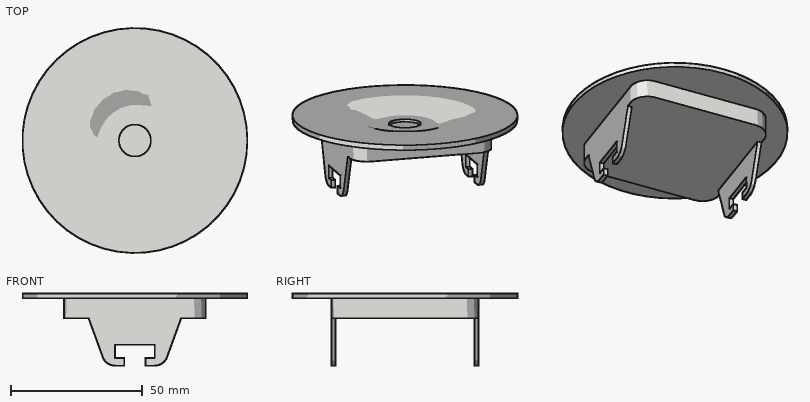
import cadquery as cq
import math

flange_diameter = 85.5
flange_thickness = 2.0
overall_height = 27.5

block_length_x = 53.95
block_length_y = 56.0
block_corner_radius = 7.0
block_bottom_depth = 9.5

dish_radius = 28.0
dish_floor_radius = 11.7
dish_depth = 3.3
dish_blend_radius = 7.0
recess_diameter = 12.1
recess_depth = 1.0

tab_thickness = 1.6
tab_top_width = 35.2
tab_side_angle = math.radians(20)
tab_corner_radius = 5.05
slot_width = 15.05
slot_mouth_width = 7.95
slot_height = 5.0
slot_lip_height = 3.0


def make_flange():
    return cq.Workplane("XY").circle(flange_diameter / 2).extrude(-flange_thickness)


def make_block():
    return (
        cq.Workplane("XY")
        .rect(block_length_x, block_length_y)
        .extrude(-block_bottom_depth)
        .edges("|Z")
        .fillet(block_corner_radius)
    )


def make_dish_cutter():
    """Two tangent arcs, level at the rim and at the floor, revolved about Z."""
    run = dish_radius - dish_floor_radius
    radius_sum = (run**2 + dish_depth**2) / (2 * dish_depth)
    rim_radius = radius_sum - dish_blend_radius
    wall_angle = math.asin(run / radius_sum)

    def rim_point(angle):
        return (dish_radius - rim_radius * math.sin(angle), -rim_radius * (1 - math.cos(angle)))

    def blend_point(angle):
        return (
            dish_floor_radius + dish_blend_radius * math.sin(angle),
            -dish_depth + dish_blend_radius * (1 - math.cos(angle)),
        )

    return (
        cq.Workplane("XZ")
        .moveTo(0, 0)
        .lineTo(dish_radius, 0)
        .threePointArc(rim_point(wall_angle / 2), rim_point(wall_angle))
        .threePointArc(blend_point(wall_angle / 2), (dish_floor_radius, -dish_depth))
        .lineTo(0, -dish_depth)
        .close()
        .revolve(360, (0, 0, 0), (0, 1, 0))
    )


def make_recess_cutter():
    recess_bottom_depth = dish_depth + recess_depth
    return cq.Workplane("XY").circle(recess_diameter / 2).extrude(-recess_bottom_depth)


def make_tab(front_y):
    """Tapered tab whose -Y face lies at front_y."""
    tab_drop = overall_height - block_bottom_depth
    top_half = tab_top_width / 2
    bottom_half = top_half - tab_drop * math.tan(tab_side_angle)
    plate = (
        cq.Workplane("XZ", origin=(0, front_y, 0))
        .polyline([
            (-top_half, -block_bottom_depth),
            (top_half, -block_bottom_depth),
            (bottom_half, -overall_height),
            (-bottom_half, -overall_height),
        ])
        .close()
        .extrude(-tab_thickness)
        .edges("|Y and <Z")
        .fillet(tab_corner_radius)
    )
    mid_y = front_y + tab_thickness / 2
    lip_top = -overall_height + slot_lip_height
    slot = cq.Workplane("XY", origin=(0, mid_y, lip_top)).rect(slot_width, tab_thickness).extrude(slot_height)
    mouth = cq.Workplane("XY", origin=(0, mid_y, lip_top)).rect(slot_mouth_width, tab_thickness)
    return plate.cut(slot).cut(mouth.extrude(-slot_lip_height))


body = make_flange().union(make_block())
for tab_front_y in (-block_length_y / 2, block_length_y / 2 - tab_thickness):
    body = body.union(make_tab(tab_front_y))

result = body.cut(make_dish_cutter()).cut(make_recess_cutter())